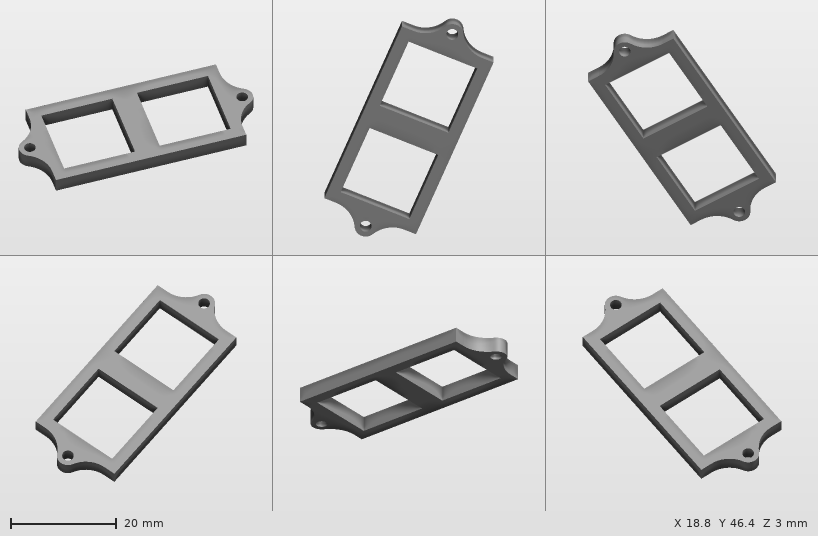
import cadquery as cq
import math

thickness = 3.0
frame_width = 18.8
cell_pitch = 19.0
frame_length = frame_width + cell_pitch
window_side = 14.1
end_bar_width = (frame_width - window_side) / 2

overall_length = 46.39
ear_radius = 2.1
ear_hole_diameter = 2.2
ear_root_half_width = 7.0

frame_end_y = frame_length / 2
ear_tip_y = overall_length / 2
ear_center_y = ear_tip_y - ear_radius

ear_rise = ear_center_y - frame_end_y
flank_radius = (ear_root_half_width**2 + ear_rise**2 - ear_radius**2) / (2 * (ear_rise + ear_radius))
flank_center_y = frame_end_y + flank_radius

tip_fraction = ear_radius / (flank_radius + ear_radius)
touch_x = ear_root_half_width * tip_fraction
touch_y = ear_center_y + (flank_center_y - ear_center_y) * tip_fraction

touch_angle = math.atan2(touch_y - flank_center_y, touch_x - ear_root_half_width) % (2 * math.pi)
root_angle = 1.5 * math.pi
middle_angle = (touch_angle + root_angle) / 2
flank_middle_x = ear_root_half_width + flank_radius * math.cos(middle_angle)
flank_middle_y = flank_center_y + flank_radius * math.sin(middle_angle)


def make_frame():
    return cq.Workplane("XY").rect(frame_width, frame_length).extrude(thickness)


def make_ear():
    """Ear at the +Y end, reaching back to the middle of the frame's end bar."""
    anchor_y = frame_end_y - end_bar_width / 2
    return (
        cq.Workplane("XY")
        .moveTo(ear_root_half_width, anchor_y)
        .lineTo(ear_root_half_width, frame_end_y)
        .threePointArc((flank_middle_x, flank_middle_y), (touch_x, touch_y))
        .threePointArc((0, ear_tip_y), (-touch_x, touch_y))
        .threePointArc((-flank_middle_x, flank_middle_y), (-ear_root_half_width, frame_end_y))
        .lineTo(-ear_root_half_width, anchor_y)
        .close()
        .extrude(thickness)
    )


def make_windows():
    centers = [(0, -cell_pitch / 2), (0, cell_pitch / 2)]
    return cq.Workplane("XY").pushPoints(centers).rect(window_side, window_side).extrude(thickness)


def make_ear_holes():
    centers = [(0, -ear_center_y), (0, ear_center_y)]
    return cq.Workplane("XY").pushPoints(centers).circle(ear_hole_diameter / 2).extrude(thickness)


ear = make_ear()
body = make_frame().union(ear).union(ear.mirror("XZ"))
result = body.cut(make_windows()).cut(make_ear_holes())